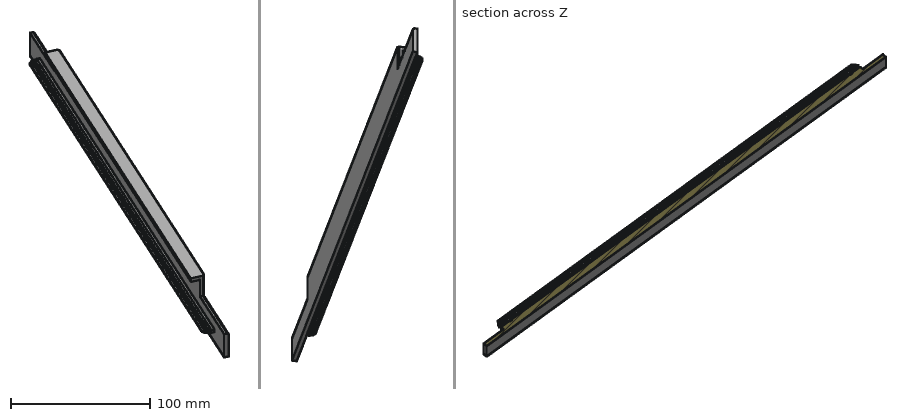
import cadquery as cq

length = 396.0
depth = 12.3
height = 38.5

plate_thickness = 3.5
wing_height = 20.5
centre_length = 297.0
flange_depth = 10.5
flange_thickness = 3.0
back_chamfer = 1.0
flange_lip_chamfer = 0.8

tongue_length = 356.5
tongue_thickness = 2.5
tongue_height = 10.3
root_front = 6.0
barb_count = 3
barb_relief = 0.8
barb_end_relief = 1.5
front_barb_setback = 1.0
notch_width = 2.5
notch_position = 168.5
overlap = 0.5

core_thickness = tongue_thickness - 2 * barb_relief
barb_pitch = (depth - root_front) / barb_count


def front_box(x_size, z_size, z_centre, start, end):
    """Box centred on X, reaching forward from distance start to end."""
    return (
        cq.Workplane("XZ", origin=(0, -start, z_centre))
        .rect(x_size, z_size)
        .extrude(end - start)
    )


def barb(barb_length, start, end):
    """Block with a flat back whose four sides slope inward toward the front."""
    return (
        cq.Workplane("XZ", origin=(0, -start, tongue_height))
        .rect(barb_length, tongue_thickness)
        .workplane(offset=end - start)
        .rect(barb_length - 2 * barb_end_relief, core_thickness)
        .loft(ruled=True)
    )


def make_plate():
    """Wings and raised centre, chamfered along the exposed back edges."""
    wings = front_box(length, wing_height, wing_height / 2, 0, plate_thickness)
    wings = wings.faces(">Z").edges(">Y").chamfer(back_chamfer)

    raised_height = height - wing_height + back_chamfer
    raised_middle = height - raised_height / 2
    centre = front_box(centre_length, raised_height, raised_middle, 0, plate_thickness)

    flange_middle = height - flange_thickness / 2
    flange = front_box(centre_length, flange_thickness, flange_middle, 0, flange_depth)
    flange = flange.faces("<Y").edges("<Z").chamfer(flange_lip_chamfer)

    centre = centre.union(flange).edges("|Z and >Y").chamfer(back_chamfer)
    return wings.union(centre)


def make_tongue():
    """Root and barbs, with a notch near each end down to the core of all but the front barb."""
    root_back = plate_thickness - overlap
    tongue = front_box(tongue_length, tongue_thickness, tongue_height, root_back, root_front)
    for index in range(barb_count):
        start = root_front + index * barb_pitch
        is_front = index == barb_count - 1
        barb_length = tongue_length - 2 * front_barb_setback if is_front else tongue_length
        tongue = tongue.union(barb(barb_length, start, start + barb_pitch))

    notch_front = depth - barb_pitch
    notch = front_box(notch_width, 2 * tongue_thickness, tongue_height, root_front, notch_front)
    core = front_box(notch_width, core_thickness, tongue_height, root_front, notch_front)
    notch = notch.cut(core)
    for side in (-1, 1):
        tongue = tongue.cut(notch.translate((side * notch_position, 0, 0)))
    return tongue


result = make_plate().union(make_tongue())